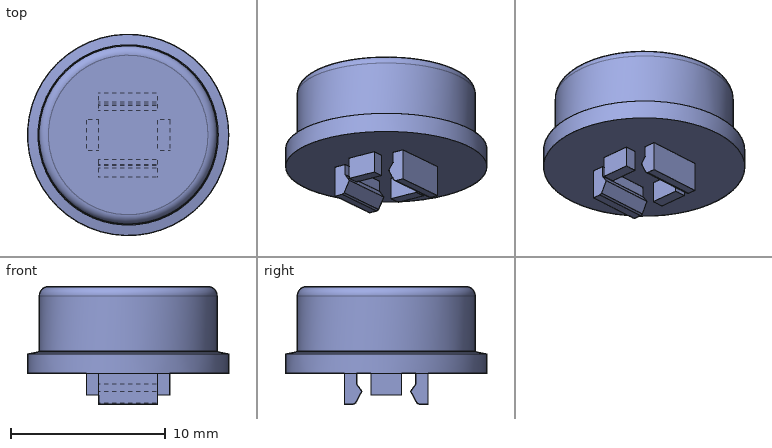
import cadquery as cq

flange_radius = 6.5
flange_edge_height = 1.25
cap_radius = 5.75
cap_top = 5.6
cap_edge_radius = 0.6
foot_width = 0.07
foot_bottom = 1.38
foot_top = 1.45

leg_reach = 2.7
leg_thickness = 0.8
leg_inner = leg_reach - leg_thickness

tab_width = 2.0
tab_length = 1.4

hook_width = 2 * leg_inner
hook_length = 2.0
hook_nose_reach = 0.33
hook_neck_length = 0.7
hook_nose_depth = 1.16
hook_lead_in_offset = 0.72
hook_lead_in_depth = 1.93
hook_tip_offset = 0.56


def make_body():
    """Round cap with a rounded top edge on a slightly conical flange."""
    profile = (
        cq.Workplane("XZ")
        .lineTo(flange_radius, 0)
        .lineTo(flange_radius, flange_edge_height)
        .lineTo(cap_radius + foot_width, foot_bottom)
        .lineTo(cap_radius, foot_top)
        .lineTo(cap_radius, cap_top - cap_edge_radius)
        .radiusArc((cap_radius - cap_edge_radius, cap_top), -cap_edge_radius)
        .lineTo(0, cap_top)
        .close()
    )
    return profile.revolve(360, (0, 0, 0), (0, 1, 0))


def make_tab():
    """Rectangular tab on the +X side."""
    return cq.Workplane("XY").box(
        leg_thickness, tab_width, tab_length, centered=(False, True, False)
    ).translate((leg_inner, 0, -tab_length))


def make_hook():
    """Snap hook on the +Y side, its nose pointing at the axis."""
    return (
        cq.Workplane("YZ")
        .moveTo(leg_reach, 0)
        .lineTo(leg_reach, -hook_length)
        .lineTo(leg_reach - hook_tip_offset, -hook_length)
        .lineTo(leg_reach - hook_lead_in_offset, -hook_lead_in_depth)
        .lineTo(leg_inner - hook_nose_reach, -hook_nose_depth)
        .lineTo(leg_inner, -hook_neck_length)
        .lineTo(leg_inner, 0)
        .close()
        .extrude(hook_width / 2, both=True)
    )


result = make_body()
for leg in (make_tab(), make_hook()):
    for angle in (0, 180):
        result = result.union(leg.rotate((0, 0, 0), (0, 0, 1), angle))